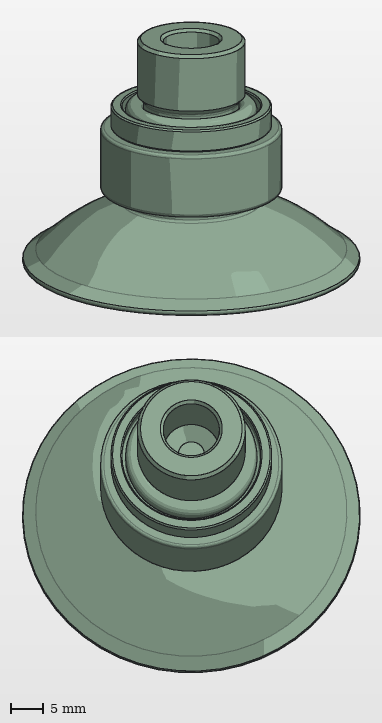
import cadquery as cq
import math


LIP_R = 26.05
LIP_Z = 0.4
LIP_BOTTOM_R = 25.8
LIP_TOP_R = 25.95
LIP_TOP_Z = 0.78
BELL_FOOT_R = 24.0
BELL_FOOT_Z = 2.07
BELL_BULGE = 0.81

NECK_R = 21.0 / 2
NECK_FILLET = 0.5
NECK_FOOT_Z = 10.38
FLARE_TURN = math.radians(66)

COLLAR_R = 28.0 / 2
COLLAR_BOTTOM_Z = 11.87
COLLAR_TOP_Z = 22.0
COLLAR_FILLET = 0.5

FLANGE_R = 24.8 / 2
FLANGE_TOP_Z = 25.6
FLANGE_CHAMFER = 0.25
GROOVE_R = 21.4 / 2
GROOVE_CHAMFER = 0.2
GROOVE_FLOOR_Z = 23.5
GROOVE_FILLET = 0.5

TOTAL_HEIGHT = 36.4
STUB_R = 16.66 / 2
STUB_BOTTOM_Z = 27.35
STUB_CHAMFER = 0.5
UNDERCUT_R = 14.8 / 2
UNDERCUT_FILLET = 0.6
SHOULDER_TURN = math.radians(45)

SEAL_TUBE_R = 1.4
SEAL_CENTRE_R = 8.75
SEAL_TOP_Z = 26.15

BORE_R = 8.65 / 2
BORE_CHAMFER = 0.45
BORE_DEPTH = 9.0
BORE_TIP_R = 4.0 / 2
DRILL_POINT_ANGLE = math.radians(118)


def revolve_about_z(profile):
    """Close an X-Z profile and turn it about the Z axis."""
    return profile.close().revolve(360, (0, 0, 0), (0, 1, 0))


def bell_top():
    """Point where the concave flare below the neck ends and the bell starts."""
    radius = NECK_R + NECK_FILLET * (1 - math.cos(FLARE_TURN))
    height = NECK_FOOT_Z - NECK_FILLET * math.sin(FLARE_TURN)
    return radius, height


def bell_middle():
    """Middle of the bell arc, raised above its chord by the bulge."""
    top_r, top_z = bell_top()
    run = BELL_FOOT_R - top_r
    drop = top_z - BELL_FOOT_Z
    chord = math.hypot(run, drop)
    radius = (top_r + BELL_FOOT_R) / 2 + BELL_BULGE * drop / chord
    height = (top_z + BELL_FOOT_Z) / 2 + BELL_BULGE * run / chord
    return radius, height


def make_body():
    """Cup, neck, collar, grooved flange and stub as one turned solid."""
    corner_z = STUB_BOTTOM_Z - (STUB_R - UNDERCUT_R) / math.tan(SHOULDER_TURN)
    undercut_top_z = corner_z - UNDERCUT_FILLET * math.tan(SHOULDER_TURN / 2)
    blend_run = UNDERCUT_FILLET * (1 - math.cos(SHOULDER_TURN))
    blend_rise = UNDERCUT_FILLET * math.sin(SHOULDER_TURN)
    profile = (
        cq.Workplane("XZ")
        .lineTo(LIP_BOTTOM_R, 0)
        .threePointArc((LIP_R, LIP_Z), (LIP_TOP_R, LIP_TOP_Z))
        .lineTo(BELL_FOOT_R, BELL_FOOT_Z)
        .threePointArc(bell_middle(), bell_top())
        .radiusArc((NECK_R, NECK_FOOT_Z), NECK_FILLET)
        .lineTo(NECK_R, COLLAR_BOTTOM_Z - NECK_FILLET)
        .tangentArcPoint((NECK_FILLET, NECK_FILLET))
        .lineTo(COLLAR_R - COLLAR_FILLET, COLLAR_BOTTOM_Z)
        .tangentArcPoint((COLLAR_FILLET, COLLAR_FILLET))
        .lineTo(COLLAR_R, COLLAR_TOP_Z - COLLAR_FILLET)
        .tangentArcPoint((-COLLAR_FILLET, COLLAR_FILLET))
        .lineTo(FLANGE_R - FLANGE_CHAMFER, COLLAR_TOP_Z)
        .line(FLANGE_CHAMFER, FLANGE_CHAMFER)
        .lineTo(FLANGE_R, FLANGE_TOP_Z - FLANGE_CHAMFER)
        .line(-FLANGE_CHAMFER, FLANGE_CHAMFER)
        .lineTo(GROOVE_R + GROOVE_CHAMFER, FLANGE_TOP_Z)
        .line(-GROOVE_CHAMFER, -GROOVE_CHAMFER)
        .lineTo(GROOVE_R, GROOVE_FLOOR_Z + GROOVE_FILLET)
        .tangentArcPoint((-GROOVE_FILLET, -GROOVE_FILLET))
        .lineTo(UNDERCUT_R, GROOVE_FLOOR_Z)
        .lineTo(UNDERCUT_R, undercut_top_z)
        .tangentArcPoint((blend_run, blend_rise))
        .lineTo(STUB_R, STUB_BOTTOM_Z)
        .lineTo(STUB_R, TOTAL_HEIGHT - STUB_CHAMFER)
        .line(-STUB_CHAMFER, STUB_CHAMFER)
        .lineTo(0, TOTAL_HEIGHT)
    )
    return revolve_about_z(profile)


def make_seal_ring():
    """O-ring seated in the flange groove."""
    return (
        cq.Workplane("XZ")
        .center(SEAL_CENTRE_R, SEAL_TOP_Z - SEAL_TUBE_R)
        .circle(SEAL_TUBE_R)
        .revolve(360, (-SEAL_CENTRE_R, 0, 0), (-SEAL_CENTRE_R, 1, 0))
    )


def make_bore():
    """Cutter for the blind bore: chamfered mouth, drilled cone, small flat floor."""
    shoulder_z = TOTAL_HEIGHT - BORE_DEPTH
    floor_z = shoulder_z - (BORE_R - BORE_TIP_R) / math.tan(DRILL_POINT_ANGLE / 2)
    profile = (
        cq.Workplane("XZ")
        .moveTo(0, floor_z)
        .lineTo(BORE_TIP_R, floor_z)
        .lineTo(BORE_R, shoulder_z)
        .lineTo(BORE_R, TOTAL_HEIGHT - BORE_CHAMFER)
        .line(BORE_CHAMFER, BORE_CHAMFER)
        .lineTo(0, TOTAL_HEIGHT)
    )
    return revolve_about_z(profile)


result = make_body().union(make_seal_ring()).cut(make_bore())